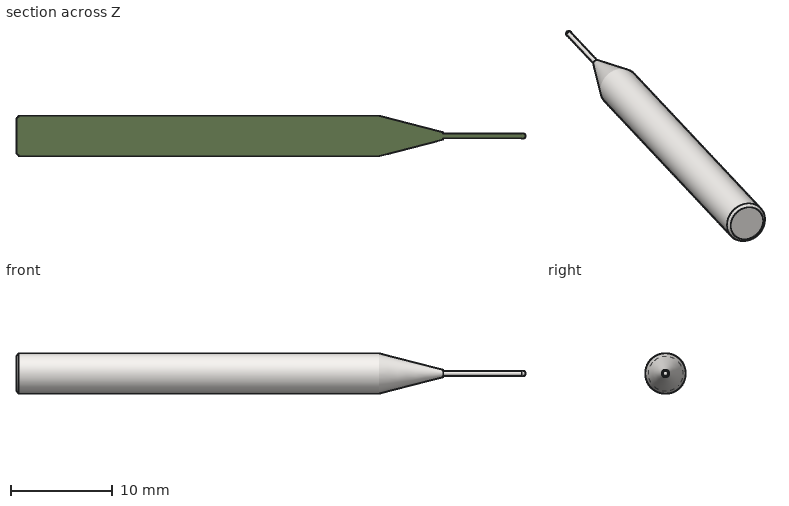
import cadquery as cq

overall_length = 50.0
shank_length = 35.6
cone_end = 41.9
head_length = 0.4

shank_diameter = 4.0
cone_tip_diameter = 0.75
neck_diameter = 0.5
head_diameter = 0.55

chamfer_length = 0.25
chamfer_depth = 0.3

shank_radius = shank_diameter / 2
cone_tip_radius = cone_tip_diameter / 2
neck_radius = neck_diameter / 2
head_radius = head_diameter / 2

head_start = overall_length - head_length
ball_center = overall_length - head_radius
ball_mid = head_radius * 0.5**0.5

profile = (
    cq.Workplane("XY")
    .moveTo(0, 0)
    .lineTo(0, shank_radius - chamfer_depth)
    .lineTo(chamfer_length, shank_radius)
    .lineTo(shank_length, shank_radius)
    .lineTo(cone_end, cone_tip_radius)
    .lineTo(cone_end, neck_radius)
    .lineTo(head_start, neck_radius)
    .lineTo(head_start, head_radius)
    .lineTo(ball_center, head_radius)
    .threePointArc((ball_center + ball_mid, ball_mid), (overall_length, 0))
    .close()
)

result = profile.revolve(360, (0, 0, 0), (1, 0, 0))